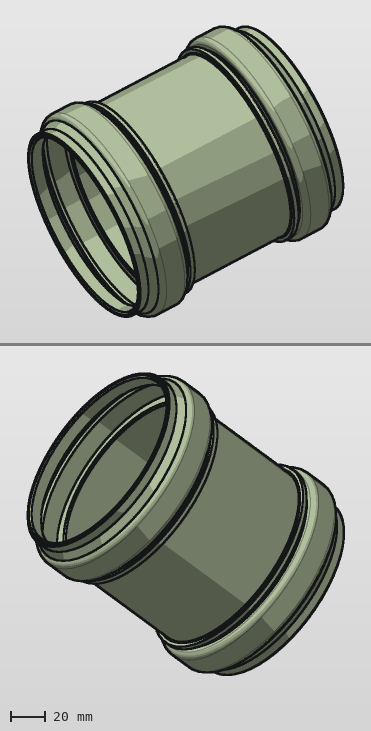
import cadquery as cq

length = 140.0
half_length = length / 2

pipe_outer = 117.2
pipe_bore = 110.6
mouth_outer = 117.5
mouth_bore = 111.7
bulge_outer = 130.0
cavity_diameter = 123.3
groove_diameter = 126.0
rib_outer = 123.2

mouth_depth = 6.2
cone_end = 11.0
mouth_bore_end = 8.7
groove_start = 12.9
groove_ramp_start = 13.6
groove_end = 15.4
bulge_end = 30.2
cavity_end = 26.9
collar_taper_start = 31.1
collar_end = 32.2
rib_start = 33.0
rib_end = 36.0

mouth_chamfer = 1.1
outer_mouth_chamfer = 0.7
bore_chamfer = 1.0
bulge_rounding = (bulge_outer - cavity_diameter) / 2
rib_foot = 0.5


def revolve_about_axis(profile):
    """Revolve a profile drawn in the XY plane, with X as the radius, about Y."""
    return profile.close().revolve(360, (0, 0, 0), (0, 1, 0))


def ring(diameter, start, end):
    """Solid disc of the given diameter between two distances from the -Y end."""
    disc = cq.Workplane("XZ", origin=(0, start - half_length, 0))
    return disc.circle(diameter / 2).extrude(start - end)


def socket_outside():
    """Mouth, cone and rounded bulge at the -Y end."""
    y_end = -half_length
    mouth = ring(mouth_outer, 0, collar_taper_start).faces("<Y").chamfer(outer_mouth_chamfer)
    collar_taper = revolve_about_axis(
        cq.Workplane("XY")
        .moveTo(0, y_end + collar_taper_start)
        .lineTo(mouth_outer / 2, y_end + collar_taper_start)
        .lineTo(pipe_outer / 2, y_end + collar_end)
        .lineTo(0, y_end + collar_end)
    )
    cone = revolve_about_axis(
        cq.Workplane("XY")
        .moveTo(0, y_end + mouth_depth)
        .lineTo(mouth_outer / 2, y_end + mouth_depth)
        .lineTo(cavity_diameter / 2, y_end + cone_end)
        .lineTo(0, y_end + cone_end)
    )
    bulge = ring(bulge_outer, cone_end, bulge_end).edges().fillet(bulge_rounding)
    return mouth.union(cone).union(bulge).union(collar_taper)


def rib():
    """Narrow rib around the pipe, with a chamfered foot on both sides."""
    y_start = rib_start - half_length
    y_stop = rib_end - half_length
    pipe_radius = pipe_outer / 2
    foot_radius = pipe_radius + rib_foot
    return revolve_about_axis(
        cq.Workplane("XY")
        .moveTo(0, y_start - rib_foot)
        .lineTo(pipe_radius, y_start - rib_foot)
        .lineTo(foot_radius, y_start)
        .lineTo(rib_outer / 2, y_start)
        .lineTo(rib_outer / 2, y_stop)
        .lineTo(foot_radius, y_stop)
        .lineTo(pipe_radius, y_stop + rib_foot)
        .lineTo(0, y_stop + rib_foot)
    )


def socket_inside():
    """Chamfered mouth bore, seal groove, cavity and chamfered pipe entry at the -Y end."""
    y_end = -half_length
    y_shoulder = y_end + cavity_end
    mouth_radius = mouth_bore / 2
    cavity_radius = cavity_diameter / 2
    groove_radius = groove_diameter / 2
    bore_radius = pipe_bore / 2
    return revolve_about_axis(
        cq.Workplane("XY")
        .moveTo(0, y_end)
        .lineTo(mouth_radius + mouth_chamfer, y_end)
        .lineTo(mouth_radius, y_end + mouth_chamfer)
        .lineTo(mouth_radius, y_end + mouth_bore_end)
        .lineTo(groove_radius, y_end + groove_start)
        .lineTo(groove_radius, y_end + groove_ramp_start)
        .lineTo(cavity_radius, y_end + groove_end)
        .lineTo(cavity_radius, y_shoulder)
        .lineTo(bore_radius + bore_chamfer, y_shoulder)
        .lineTo(bore_radius, y_shoulder + bore_chamfer)
        .lineTo(0, y_shoulder + bore_chamfer)
    )


def both_ends(body):
    """The -Y end feature together with its mirror image at the +Y end."""
    return body.union(body.mirror("XZ"))


pipe = ring(pipe_outer, mouth_depth, length - mouth_depth)
outside = pipe.union(both_ends(socket_outside())).union(both_ends(rib()))
through_bore = ring(pipe_bore, cavity_end, length - cavity_end)

result = outside.cut(through_bore).cut(both_ends(socket_inside()))